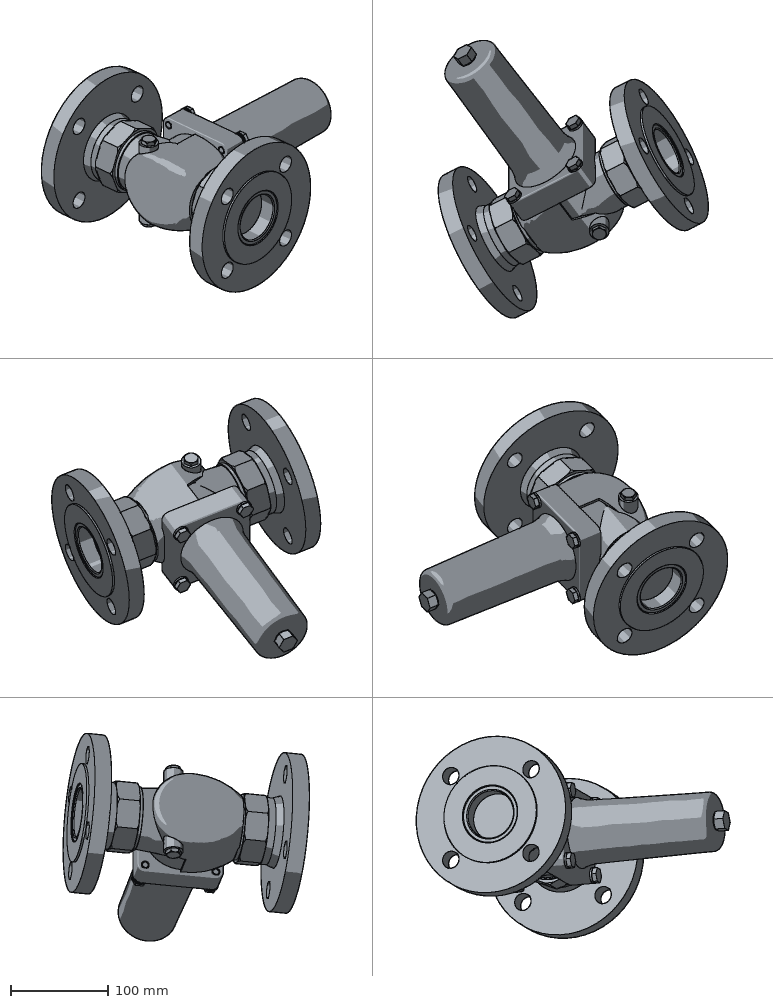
import cadquery as cq


face_distance = 230.0
flange_diameter = 165.0
flange_thickness = 17.7
raised_face_diameter = 102.0
raised_face_height = 2.25
bolt_hole_diameter = 18.0
bolt_circle_diameter = 125.0
bolt_hole_count = 4
bore_diameter = 50.0
bore_depth = 18.0
bore_edge_chamfer = 1.2
seat_diameter = 61.0
seat_depth = 1.0
seat_floor_diameter = 59.3

neck_base_diameter = 74.8
neck_diameter = 69.0
neck_taper_end = 87.5
nut_corner_diameter = 76.0
nut_sides = 8
nut_outer_end = 79.5
nut_inner_end = 55.5
nut_corner_bevel = 1.8

body_half_length = 53.0
inlet_radius = 31.5
inlet_top_width = 77.8
collar_radius = 33.0
collar_inner_end = 51.8
bowl_radius = 41.5
bowl_bottom = -36.8
bowl_edge_radius = 7.0
outlet_top = 35.5
outlet_half_width = 30.5
outlet_corner_radius = 29.3
outlet_middle_x = 28.5
outlet_middle_half_width = 39.0
outlet_middle_corner_radius = 13.5
bowl_rim = [(-43.5, -19.5), (-18.0, -4.5), (0, 2.5)]

bonnet_side = 90.5
bonnet_bottom = 28.7
bonnet_top = 54.8
bonnet_corner_radius = 8.5
bonnet_edge_radius = 1.5

screw_offset = 37.0
screw_hole_diameter = 8.0
screw_end_diameter = 6.5
screw_hole_depth = 1.8
hex_head_corners = 16.5
screw_washer_height = 2.0
screw_head_height = 4.8
plug_x = -18.0
plug_y = -21.8
plug_boss_diameter = 20.0
plug_boss_end = 46.5
plug_end = 51.0
plug_crown_bevel = 1.2

housing_flare_diameter = 73.5
housing_base_diameter = 66.0
housing_top_diameter = 61.5
housing_crown_diameter = 52.7
housing_flare_end = 68.8
housing_shoulder = 200.2
housing_top = 205.3
adjuster_end = 299.3 - flange_diameter / 2
adjuster_washer_height = 1.0
adjuster_washer_diameter = 18.0
adjuster_corners = 21.5


def x_cylinder(start, end, diameter):
    """Round bar on the pipe axis."""
    return cq.Workplane("YZ", origin=(start, 0, 0)).circle(diameter / 2).extrude(end - start)


def y_cylinder(start, end, diameter, x=0, z=0):
    """Round bar parallel to the housing axis."""
    plane = cq.Plane(origin=(x, start, z), xDir=(1, 0, 0), normal=(0, 1, 0))
    return cq.Workplane(plane).circle(diameter / 2).extrude(end - start)


def y_hexagon(start, end, corners, x=0, z=0):
    """Hexagon head parallel to the housing axis with corners on the X direction."""
    plane = cq.Plane(origin=(x, start, z), xDir=(1, 0, 0), normal=(0, 1, 0))
    return cq.Workplane(plane).polygon(6, corners).extrude(end - start)


def make_flange_neck():
    """Welding-neck flange at the -X end, with raised face and bolt holes."""
    face = -face_distance / 2
    front = face + raised_face_height
    back = front + flange_thickness
    profile = [
        (face, 0),
        (face, raised_face_diameter / 2),
        (front, raised_face_diameter / 2),
        (front, flange_diameter / 2),
        (back, flange_diameter / 2),
        (back, neck_base_diameter / 2),
        (-neck_taper_end, neck_diameter / 2),
        (-nut_inner_end, neck_diameter / 2),
        (-nut_inner_end, 0),
    ]
    flange = cq.Workplane("XY").polyline(profile).close().revolve(360, (0, 0, 0), (1, 0, 0))
    bolt_holes = (
        cq.Workplane("YZ", origin=(front, 0, 0))
        .polarArray(bolt_circle_diameter / 2, 180 / bolt_hole_count, 360, bolt_hole_count)
        .circle(bolt_hole_diameter / 2)
        .extrude(flange_thickness)
    )
    return flange.cut(bolt_holes)


def make_bore():
    """Blind bore at the -X end with a shallow tapered seat and a bevelled edge."""
    face = -face_distance / 2
    seat_floor = face + seat_depth
    bore_radius = bore_diameter / 2
    profile = [
        (face, 0),
        (face, seat_diameter / 2),
        (seat_floor, seat_floor_diameter / 2),
        (seat_floor, bore_radius + bore_edge_chamfer),
        (seat_floor + bore_edge_chamfer, bore_radius),
        (face + bore_depth, bore_radius),
        (face + bore_depth, 0),
    ]
    return cq.Workplane("XY").polyline(profile).close().revolve(360, (0, 0, 0), (1, 0, 0))


def make_union_nut():
    """Octagonal union nut at the -X end with its corners turned down at both ends."""
    length = nut_outer_end - nut_inner_end
    octagon = (
        cq.Workplane("YZ", origin=(-nut_outer_end, 0, 0))
        .polygon(nut_sides, nut_corner_diameter)
        .extrude(length)
    )
    turned = x_cylinder(-nut_outer_end, -nut_inner_end, nut_corner_diameter).faces("<X or >X")
    return octagon.intersect(turned.chamfer(nut_corner_bevel))


def make_pipe_end():
    """Complete connection at the -X end."""
    collar = x_cylinder(-nut_inner_end, -collar_inner_end, 2 * collar_radius)
    return make_flange_neck().union(make_union_nut()).union(collar).cut(make_bore())


def outlet_section(x, bottom, top, half_width, corner_radius):
    """Rounded rectangle across the pipe axis."""
    sketch = cq.Sketch().rect(top - bottom, 2 * half_width).vertices().fillet(corner_radius)
    return sketch.moved(cq.Location(cq.Vector((top + bottom) / 2, 0, x)))


def make_outlet():
    """Outlet half of the body, narrowing from the bowl width to the round collar."""
    sections = [
        outlet_section(0, bowl_bottom, outlet_top, bowl_radius, bowl_edge_radius),
        outlet_section(
            outlet_middle_x, bowl_bottom, outlet_top,
            outlet_middle_half_width, outlet_middle_corner_radius,
        ),
        outlet_section(
            body_half_length, bowl_bottom, outlet_top, outlet_half_width, outlet_corner_radius,
        ),
    ]
    return cq.Workplane("YZ").placeSketch(*sections).loft()


def make_bowl():
    """Round bowl on the inlet side, cut off along its sloping rim."""
    bowl = y_cylinder(bowl_bottom, outlet_top, 2 * bowl_radius)
    bowl = bowl.faces("<Y").edges().fillet(bowl_edge_radius)
    below_rim = (
        cq.Workplane("XY", origin=(0, 0, -bowl_radius))
        .moveTo(0, bowl_bottom)
        .lineTo(bowl_rim[0][0], bowl_bottom)
        .lineTo(*bowl_rim[0])
        .threePointArc(*bowl_rim[1:])
        .close()
        .extrude(2 * bowl_radius)
    )
    return bowl.intersect(below_rim)


def make_inlet():
    """Inlet branch, flaring sideways until it meets the bonnet column."""
    start = -body_half_length
    return (
        cq.Workplane("YZ", origin=(start, 0, 0))
        .circle(inlet_radius)
        .workplane(offset=-start)
        .ellipse(inlet_radius, inlet_top_width / 2)
        .loft()
    )


def make_body():
    """Cast valve body between the two union nuts."""
    column = y_cylinder(0, bonnet_bottom, inlet_top_width)
    return make_outlet().union(make_bowl()).union(make_inlet()).union(column)


def make_bonnet_flange():
    """Square bonnet flange with rounded corners and four corner screws."""
    plane = cq.Plane(origin=(0, bonnet_bottom, 0), xDir=(1, 0, 0), normal=(0, 1, 0))
    flange = cq.Workplane(plane).rect(bonnet_side, bonnet_side).extrude(bonnet_top - bonnet_bottom)
    flange = flange.edges("|Y").fillet(bonnet_corner_radius)
    flange = flange.faces("<Y or >Y").edges().fillet(bonnet_edge_radius)
    for x in (-screw_offset, screw_offset):
        for z in (-screw_offset, screw_offset):
            hole_floor = bonnet_bottom + screw_hole_depth
            hole = y_cylinder(bonnet_bottom, hole_floor, screw_hole_diameter, x, z)
            screw_end = y_cylinder(bonnet_bottom, hole_floor, screw_end_diameter, x, z)
            washer_top = bonnet_top + screw_washer_height
            washer = y_cylinder(bonnet_top, washer_top, hex_head_corners, x, z)
            head = y_hexagon(washer_top, washer_top + screw_head_height, hex_head_corners, x, z)
            flange = flange.cut(hole).union(screw_end).union(washer).union(head)
    return flange


def make_housing():
    """Tapered spring housing with a flared foot and a rounded edge on the crown."""
    base_radius = housing_base_diameter / 2
    flare_radius = housing_flare_diameter / 2
    flare_middle = ((base_radius * 2 + flare_radius) / 3, (housing_flare_end + bonnet_top) / 2)
    profile = (
        cq.Workplane("XY")
        .moveTo(0, bonnet_bottom)
        .lineTo(flare_radius, bonnet_bottom)
        .lineTo(flare_radius, bonnet_top)
        .threePointArc(flare_middle, (base_radius, housing_flare_end))
        .lineTo(housing_top_diameter / 2, housing_shoulder)
        .tangentArcPoint((housing_crown_diameter / 2, housing_top), relative=False)
        .lineTo(0, housing_top)
        .close()
    )
    return profile.revolve(360, (0, 0, 0), (0, 1, 0))


def make_adjuster():
    """Hexagon adjusting screw on a round washer."""
    washer_top = housing_top + adjuster_washer_height
    washer = y_cylinder(housing_top, washer_top, adjuster_washer_diameter)
    return washer.union(y_hexagon(washer_top, adjuster_end, adjuster_corners))


def make_test_plug():
    """Boss on the +Z side of the bowl with a crowned hexagon plug."""
    boss = (
        cq.Workplane("XY", origin=(plug_x, plug_y, 0))
        .circle(plug_boss_diameter / 2)
        .extrude(plug_boss_end)
    )
    head = cq.Workplane("XY", origin=(plug_x, plug_y, plug_boss_end))
    head_height = plug_end - plug_boss_end
    crown = head.circle(hex_head_corners / 2).extrude(head_height)
    crown = crown.faces(">Z").chamfer(plug_crown_bevel)
    hexagon = head.polygon(6, hex_head_corners).extrude(head_height)
    return boss.union(hexagon.intersect(crown))


pipe_end = make_pipe_end()
test_plug = make_test_plug()
result = (
    make_body()
    .union(pipe_end)
    .union(pipe_end.mirror("YZ"))
    .union(make_bonnet_flange())
    .union(make_housing())
    .union(make_adjuster())
    .union(test_plug)
    .union(test_plug.mirror("XY"))
)